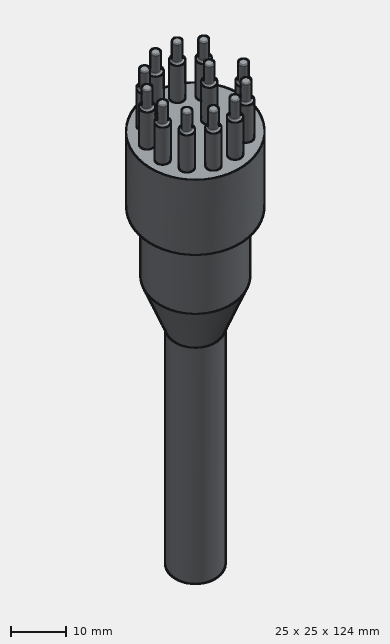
import cadquery as cq
import math

TOTAL_HEIGHT = 124.0
CABLE_LENGTH = 60.0
CONE_LENGTH = 13.0
BODY_LENGTH = 17.5
COLLAR_LENGTH = 19.1

CABLE_DIAMETER = 11.0
BODY_DIAMETER = 20.0
COLLAR_DIAMETER = 25.0

PIN_DIAMETER = 3.0
TIP_DIAMETER = 2.0
TIP_LENGTH = 5.0
TIP_ROUNDING = 0.2
PIN_CIRCLE_RADIUS = 9.3
KEY_PIN_RADIUS = 4.0
PIN_PITCH_ANGLE = 30
KEY_PIN_ANGLE = 90

CONE_BOTTOM = CABLE_LENGTH
CONE_TOP = CONE_BOTTOM + CONE_LENGTH
COLLAR_BOTTOM = CONE_TOP + BODY_LENGTH
COLLAR_TOP = COLLAR_BOTTOM + COLLAR_LENGTH


def make_plug_body():
    """Cable, tapered strain relief, body and collar as one turned solid."""
    cable_radius = CABLE_DIAMETER / 2
    body_radius = BODY_DIAMETER / 2
    collar_radius = COLLAR_DIAMETER / 2
    profile = [
        (0, 0),
        (cable_radius, 0),
        (cable_radius, CONE_BOTTOM),
        (body_radius, CONE_TOP),
        (body_radius, COLLAR_BOTTOM),
        (collar_radius, COLLAR_BOTTOM),
        (collar_radius, COLLAR_TOP),
        (0, COLLAR_TOP),
    ]
    return cq.Workplane("XZ").polyline(profile).close().revolve(360, (0, 0), (0, 1))


def make_pin():
    """One turned contact pin standing on the collar at the plug axis.

    A hollow fillet flares the slim tip out to the shank, and the tip has a rounded top edge.
    """
    shank_radius = PIN_DIAMETER / 2
    tip_radius = TIP_DIAMETER / 2
    flare_radius = shank_radius - tip_radius
    shoulder = TOTAL_HEIGHT - TIP_LENGTH
    arc_offset = math.sqrt(0.5)
    flare_middle = (shank_radius - flare_radius * arc_offset, shoulder + flare_radius * (1 - arc_offset))
    rounding_inset = TIP_ROUNDING * (1 - arc_offset)
    rounding_middle = (tip_radius - rounding_inset, TOTAL_HEIGHT - rounding_inset)
    return (
        cq.Workplane("XZ")
        .moveTo(0, COLLAR_TOP)
        .lineTo(shank_radius, COLLAR_TOP)
        .lineTo(shank_radius, shoulder)
        .threePointArc(flare_middle, (tip_radius, shoulder + flare_radius))
        .lineTo(tip_radius, TOTAL_HEIGHT - TIP_ROUNDING)
        .threePointArc(rounding_middle, (tip_radius - TIP_ROUNDING, TOTAL_HEIGHT))
        .lineTo(0, TOTAL_HEIGHT)
        .close()
        .revolve(360, (0, 0), (0, 1))
    )


def add_pins(plug):
    """Twelve pins, one per clock position, with the key pin moved inward."""
    pin = make_pin()
    for angle in range(0, 360, PIN_PITCH_ANGLE):
        radius = KEY_PIN_RADIUS if angle == KEY_PIN_ANGLE else PIN_CIRCLE_RADIUS
        x = radius * math.cos(math.radians(angle))
        y = radius * math.sin(math.radians(angle))
        plug = plug.union(pin.translate((x, y, 0)))
    return plug


result = add_pins(make_plug_body())